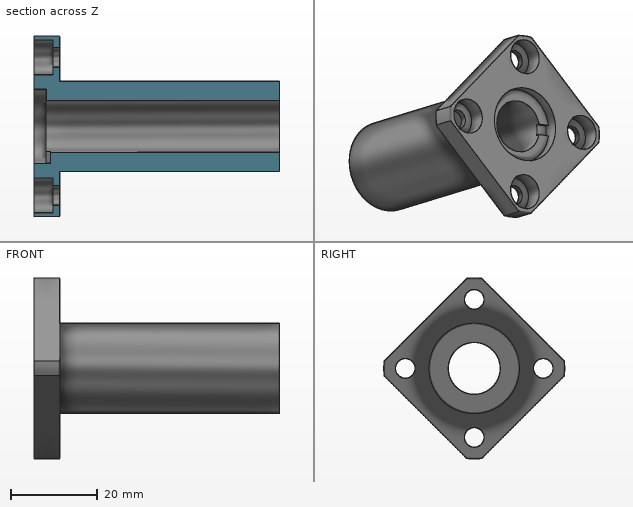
import cadquery as cq

total_length = 57.0
sleeve_diameter = 21.0
bore_diameter = 12.0
sleeve_end_fillet = 0.2

flange_diameter = 42.0
flange_across_flats = 32.0
flange_thickness = 6.0
flange_fillet = 0.2
flange_turn = 45.0

hole_count = 4
hole_circle_diameter = 32.0
hole_diameter = 4.5
counterbore_diameter = 8.0
counterbore_depth = 4.4

recess_diameter = 17.2
recess_depth = 2.85
slot_width = 2.5
slot_depth = 1.0


def cylinder(diameter, length, start=0.0):
    """Solid cylinder on the X axis, running towards +X from the given start."""
    return cq.Workplane("YZ", origin=(start, 0, 0)).circle(diameter / 2).extrude(length)


def make_sleeve():
    """Solid sleeve body with its far rim rounded; the bore is cut later."""
    return cylinder(sleeve_diameter, total_length).faces(">X").fillet(sleeve_end_fillet)


def make_flange():
    """Disc with both rims rounded, cut to a square; the disc rim remains only at the corners."""
    disc = cylinder(flange_diameter, flange_thickness).faces("<X or >X").edges().fillet(flange_fillet)
    square = (
        cq.Workplane("YZ")
        .rect(flange_across_flats, flange_across_flats)
        .extrude(flange_thickness)
        .rotate((0, 0, 0), (1, 0, 0), flange_turn)
    )
    return disc.intersect(square)


def mounting_hole_cylinders(diameter, depth):
    """Cutters for all mounting holes, sunk from the flange face."""
    return (
        cq.Workplane("YZ")
        .polarArray(hole_circle_diameter / 2, 0, 360, hole_count)
        .circle(diameter / 2)
        .extrude(depth)
    )


def make_recess_slot():
    """Slot on the -Y side of the recess floor, from the bore to the recess wall."""
    recess_radius = recess_diameter / 2
    slot = cq.Workplane("XY").box(
        slot_depth, recess_radius, slot_width, centered=(False, False, True)
    )
    slot = slot.translate((recess_depth, -recess_radius, 0))
    return slot.intersect(cylinder(recess_diameter, slot_depth, recess_depth))


result = (
    make_sleeve()
    .union(make_flange())
    .cut(mounting_hole_cylinders(hole_diameter, flange_thickness))
    .cut(mounting_hole_cylinders(counterbore_diameter, counterbore_depth))
    .cut(cylinder(bore_diameter, total_length))
    .cut(cylinder(recess_diameter, recess_depth))
    .cut(make_recess_slot())
)